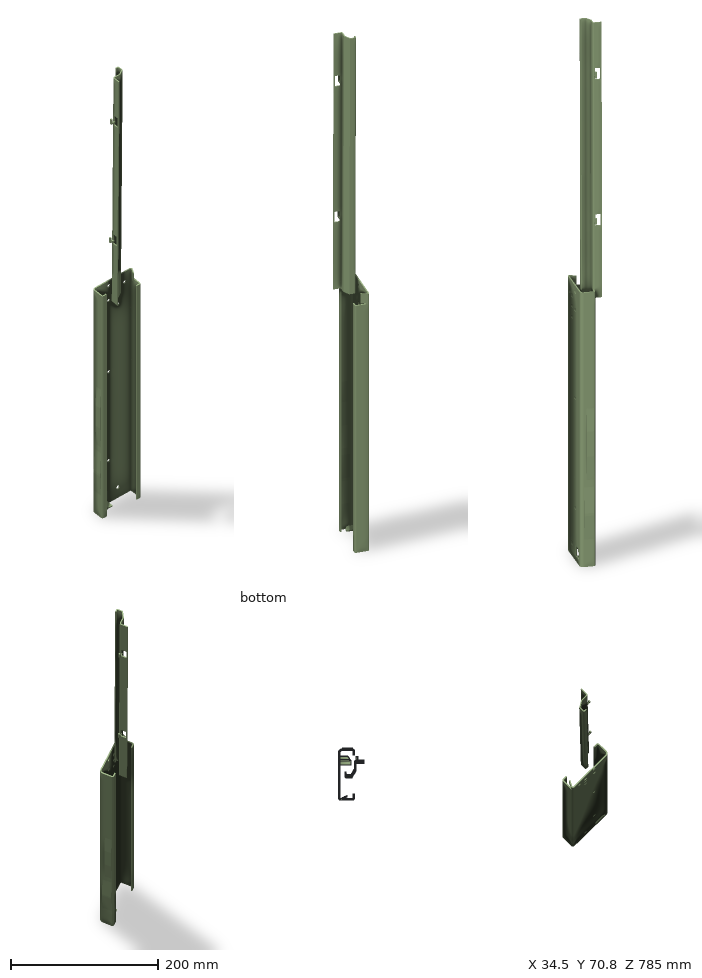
import cadquery as cq
import math

overall_x = 34.55
overall_y = 70.8
overall_z = 785.02

channel_length = 400.0
channel_depth = 21.5
channel_sheet = 1.9
bump_height = 1.5
channel_width = overall_y - bump_height
lip_length = 8.0
large_bend = 5.0
small_bend = 2.8

rail_length = 400.0
rail_lean = 0.45
rail_sheet = 1.6
rail_lip_x = 8.8
rail_web_x = 23.5
rail_bottom_y = 15.05
rail_height = 21.0
rail_lip_length = 5.2
rail_lip_bend = 2.2
rail_diagonal_run = 5.5
rail_diagonal_drop = 9.1
rail_flange_bend = 2.4

hole_diameter = 5.2
slot_length = 7.0
row_near_y = 28.1
row_middle_y = 44.7
row_far_y = 56.5
round_holes = [
    (row_near_y, 391.0),
    (row_far_y, 381.5),
    (row_middle_y, 364.5),
    (row_near_y, 364.5),
    (row_middle_y, 348.5),
    (row_near_y, 236.0),
    (row_near_y, 76.0),
]
slots = [(row_middle_y, 380.0), (row_middle_y, 19.0)]

window_y0 = 7.1
window_y1 = 25.9
window_top = 22.8
window_step_y = 11.6
window_step_z = 18.2
shelf_top = 9.0
shelf_thickness = 1.8
shelf_bottom = shelf_top - shelf_thickness
shelf_y0 = 9.6
shelf_y1 = 22.0
shelf_reach = 17.0
shelf_tip_y = 16.0
shelf_tip_reach = 12.5
rib_y0 = 14.2
rib_y1 = 16.2
rib_depth = 3.0
rib_reach = 15.0

pad_end_x = 18.8
upper_pad_x = 8.8
upper_pad_z = [126.5, 161.0, 197.5, 230.5]
lower_pad_x = 5.2
lower_pad_z = [40.0, 74.5, 78.5, 116.0]

relief_z = 385.0
stub_tip_x = 11.5
stub_drop = 4.2

rail_window_x0 = 25.2
rail_window_x1 = 32.8
rail_window_height = 16.5
rail_window_z = [113.0, 325.5]
hook_x0 = 23.6
hook_x1 = 26.2
hook_reach = 5.5
hook_sheet = 2.0
hook_height = 9.0


def block(x0, x1, y0, y1, z0, z1):
    """Box between two opposite corners."""
    return cq.Workplane("XY").box(x1 - x0, y1 - y0, z1 - z0, centered=False).translate((x0, y0, z0))


def rounded_bar(inset):
    """Full-length bar with the channel's bends, shrunk by inset on every side."""
    bar = block(inset, channel_depth - inset, inset, channel_width - inset, 0, channel_length)
    bar = bar.edges("|Z and <X and <Y").fillet(large_bend - inset)
    return bar.edges("|Z").edges(">X or >Y").fillet(small_bend - inset)


def channel_section():
    """Plate, two flanges and two lips."""
    mouth = block(channel_depth / 2, channel_depth + 1, lip_length, channel_width - lip_length,
                  0, channel_length)
    return rounded_bar(0).cut(rounded_bar(channel_sheet)).cut(mouth)


def press_pad(body, x0, levels):
    """Push a pad with two sloping ends out of the -Y flange, keeping the sheet thickness."""
    z_low, z_flat_low, z_flat_high, z_high = levels
    outline = [(0, z_low), (-bump_height, z_flat_low), (-bump_height, z_flat_high), (0, z_high)]
    pad = cq.Workplane("YZ", origin=(x0, 0, 0)).polyline(outline).close().extrude(pad_end_x - x0)
    hollow = pad.translate((0, channel_sheet, 0))
    return body.union(pad).cut(hollow)


def fold_upper_end(body):
    """Cut the +Y flange and lip back at the upper end and leave a stub that slopes inwards."""
    flange_inner_y = channel_width - channel_sheet
    relief = block(small_bend, channel_depth, channel_width - lip_length, channel_width,
                   relief_z, channel_length)
    outline = [
        (small_bend, flange_inner_y),
        (small_bend, channel_width),
        (stub_tip_x, channel_width - stub_drop),
        (stub_tip_x, flange_inner_y - stub_drop),
    ]
    stub = (cq.Workplane("XY").workplane(offset=relief_z).polyline(outline).close()
            .extrude(channel_length - relief_z))
    return body.cut(relief).union(stub)


def drill_plate(body):
    """Round holes and upright slots through the plate."""
    rounds = cq.Workplane("YZ").pushPoints(round_holes).circle(hole_diameter / 2).extrude(channel_sheet)
    longs = cq.Workplane("YZ").pushPoints(slots).slot2D(slot_length, hole_diameter, 90).extrude(channel_sheet)
    return body.cut(rounds).cut(longs)


def cut_window(body):
    """Stepped window through the plate, down to the underside of the shelf."""
    outline = [
        (window_y0, shelf_bottom),
        (window_y1, shelf_bottom),
        (window_y1, window_top),
        (window_step_y, window_top),
        (window_step_y, window_step_z),
        (window_y0, window_step_z),
    ]
    return body.cut(cq.Workplane("YZ").polyline(outline).close().extrude(channel_sheet))


def add_shelf(body):
    """Tapered shelf standing off the plate, with a stiffening rib below it."""
    outline = [
        (0, shelf_y0),
        (shelf_tip_reach, shelf_y0),
        (shelf_reach, shelf_tip_y),
        (shelf_reach, shelf_y1),
        (0, shelf_y1),
    ]
    shelf = (cq.Workplane("XY").workplane(offset=shelf_bottom).polyline(outline).close()
             .extrude(shelf_thickness))
    rib = block(0, rib_reach, rib_y0, rib_y1, shelf_bottom - rib_depth, shelf_bottom)
    return body.union(shelf).union(rib)


def make_channel():
    body = channel_section()
    body = press_pad(body, upper_pad_x, upper_pad_z)
    body = press_pad(body, lower_pad_x, lower_pad_z)
    body = fold_upper_end(body)
    body = drill_plate(body)
    body = cut_window(body)
    return add_shelf(body)


def rail_section():
    """Lip, crown, sloping wall, web and flange, bent from one strip; Y is zero at the flange's -Y face."""
    lip_bend_x = rail_lip_x + rail_lip_bend
    lip_bend_y = rail_height - rail_lip_bend
    lip_bend_inner = rail_lip_bend - rail_sheet
    bend_inner = rail_flange_bend - rail_sheet
    lip_end = rail_height - rail_lip_length
    web_inner_x = rail_web_x - rail_sheet
    lip_inner_x = rail_lip_x + rail_sheet
    crown_x = rail_web_x - rail_diagonal_run
    web_top_y = rail_height - rail_diagonal_drop
    slope = math.atan2(rail_diagonal_drop, rail_diagonal_run)
    crown_inner_x = crown_x - rail_sheet * math.tan(slope / 2)
    web_inner_top_y = web_top_y - rail_sheet * math.tan((math.pi / 2 - slope) / 2)
    bend_x = rail_web_x + bend_inner
    diagonal = math.sqrt(0.5)
    return (
        cq.Workplane("XY")
        .moveTo(rail_lip_x, lip_end)
        .lineTo(rail_lip_x, rail_height - rail_lip_bend)
        .threePointArc((lip_bend_x - rail_lip_bend * diagonal, lip_bend_y + rail_lip_bend * diagonal),
                       (lip_bend_x, rail_height))
        .lineTo(crown_x, rail_height)
        .lineTo(rail_web_x, web_top_y)
        .lineTo(rail_web_x, rail_flange_bend)
        .threePointArc((bend_x - bend_inner * diagonal, rail_flange_bend - bend_inner * diagonal),
                       (bend_x, rail_sheet))
        .lineTo(overall_x, rail_sheet)
        .lineTo(overall_x, 0)
        .lineTo(bend_x, 0)
        .threePointArc((bend_x - rail_flange_bend * diagonal, rail_flange_bend * (1 - diagonal)),
                       (web_inner_x, rail_flange_bend))
        .lineTo(web_inner_x, web_inner_top_y)
        .lineTo(crown_inner_x, rail_height - rail_sheet)
        .lineTo(lip_bend_x, rail_height - rail_sheet)
        .threePointArc((lip_bend_x - lip_bend_inner * diagonal, lip_bend_y + lip_bend_inner * diagonal),
                       (lip_inner_x, lip_bend_y))
        .lineTo(lip_inner_x, lip_end)
        .close()
        .extrude(rail_length)
    )


def hook(z_center):
    """L-shaped tongue: a stem out of the flange, then a finger turned upwards."""
    z0 = z_center - hook_height / 2
    stem = block(hook_x0, hook_x1, -hook_reach, rail_sheet, z0, z0 + hook_sheet)
    finger = block(hook_x0, hook_x1, -hook_reach, hook_sheet - hook_reach, z0, z0 + hook_height)
    return stem.union(finger)


def make_rail():
    body = rail_section()
    for z in rail_window_z:
        half = rail_window_height / 2
        body = body.cut(block(rail_window_x0, rail_window_x1, 0, rail_sheet, z - half, z + half))
        body = body.union(hook(z))
    body = body.rotate((0, 0, 0), (1, 0, 0), -rail_lean)
    top_z = rail_length * math.cos(math.radians(rail_lean))
    return body.translate((0, rail_bottom_y, overall_z - top_z))


channel = make_channel()
rail = make_rail()

result = cq.Compound.makeCompound([channel.val(), rail.val()])